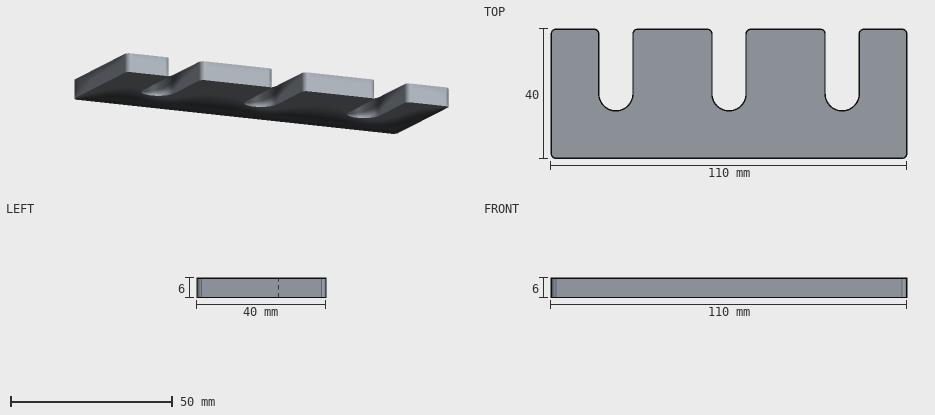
import cadquery as cq

length = 110.0
width = 40.0
thickness = 6.0
corner_radius = 1.5

slot_count = 3
slot_pitch = 35.0
slot_width = 10.5
slot_center_depth = 20.0


def make_plate():
    """Rectangular plate centred on X and Y, standing on Z = 0."""
    return cq.Workplane("XY").box(length, width, thickness, centered=(True, True, False))


def make_slot(x):
    """Through slot with a round inner end, open at the +Y edge."""
    center_y = width / 2 - slot_center_depth
    radius = slot_width / 2
    return (
        cq.Workplane("XY")
        .moveTo(x - radius, width / 2)
        .lineTo(x - radius, center_y)
        .threePointArc((x, center_y - radius), (x + radius, center_y))
        .lineTo(x + radius, width / 2)
        .close()
        .extrude(thickness)
    )


result = make_plate()
for index in range(slot_count):
    slot_x = (index - (slot_count - 1) / 2) * slot_pitch
    result = result.cut(make_slot(slot_x))

result = result.edges("|Z and (<Y or >Y)").fillet(corner_radius)